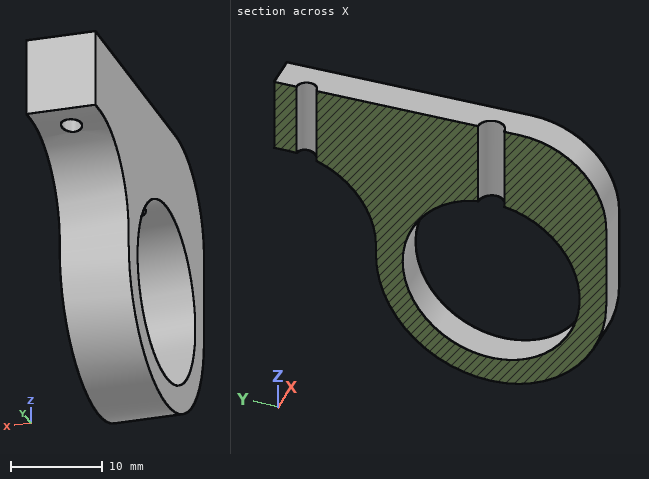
import cadquery as cq
import math

width = 7.94
bore_radius = 10.32
ring_wall = 3.175
top_height = 20.32
arm_reach = 25.4
arm_thickness = 8.9
arc_radius = 10.16
arc_middle_angle = 135
end_hole_diameter = 2.3
end_hole_inset = 3.8
ring_hole_diameter = 3.05

ring_radius = bore_radius + ring_wall
arm_underside = top_height - arm_thickness


def arc_point(center_y, center_z, radius, angle):
    """Point on a circle in the YZ plane, with the angle in degrees from +Y."""
    turn = math.radians(angle)
    return center_y + radius * math.cos(turn), center_z + radius * math.sin(turn)


def make_body():
    """Ring with a flat-topped arm, extruded symmetrically along X."""
    corner_y = arc_radius - ring_radius
    corner_z = top_height - arc_radius
    hollow_y = ring_radius + arc_radius
    hollow_z = arm_underside - arc_radius
    corner_middle = arc_point(corner_y, corner_z, arc_radius, arc_middle_angle)
    hollow_middle = arc_point(hollow_y, hollow_z, arc_radius, arc_middle_angle)
    return (
        cq.Workplane("YZ")
        .moveTo(-ring_radius, 0)
        .lineTo(-ring_radius, corner_z)
        .threePointArc(corner_middle, (corner_y, top_height))
        .lineTo(arm_reach, top_height)
        .lineTo(arm_reach, arm_underside)
        .lineTo(hollow_y, arm_underside)
        .threePointArc(hollow_middle, (ring_radius, hollow_z))
        .lineTo(ring_radius, 0)
        .threePointArc((0, -ring_radius), (-ring_radius, 0))
        .close()
        .extrude(width / 2, both=True)
    )


def make_bore():
    """Round opening through the full width."""
    return cq.Workplane("YZ").circle(bore_radius).extrude(width / 2, both=True)


def make_top_hole(y, diameter):
    """Vertical hole from the flat top down to the level of the bore axis."""
    return cq.Workplane("XY").center(0, y).circle(diameter / 2).extrude(top_height)


result = (
    make_body()
    .cut(make_bore())
    .cut(make_top_hole(arm_reach - end_hole_inset, end_hole_diameter))
    .cut(make_top_hole(0, ring_hole_diameter))
)